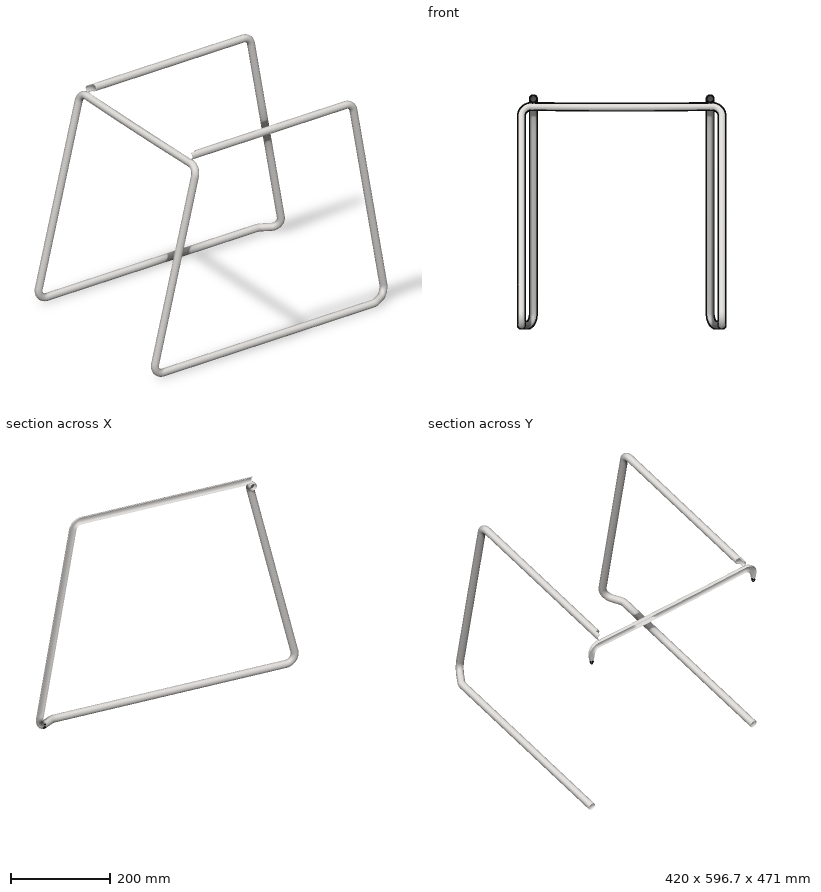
import cadquery as cq
import math

tube_diameter = 16.0
bore_diameter = 13.0
tube_radius = tube_diameter / 2
bend_radius = 20.0

overall_width = 420.0
overall_height = 471.0

base_x = overall_width / 2 - tube_radius
rail_x = 177.5
base_z = tube_radius
rail_z = overall_height - tube_radius
bar_drop = 15.0
bar_z = rail_z - bar_drop
bar_y = -186.5
front_foot_y = -296.0
rear_foot_y = 294.0
rear_top_y = 213.5
rail_end_y = -185.5

rear_lean = math.atan2(rear_foot_y - rear_top_y, rail_z - base_z)
rail_bend_half_angle = (math.pi / 2 - rear_lean) / 2
rail_joint_y = rear_top_y - bend_radius * math.tan(rail_bend_half_angle)

jog_angle = 30.0
jog_y = rear_foot_y - (base_x - rail_x) / math.tan(math.radians(jog_angle))

bow_corner_drop = 3.5
bow_end_gap = 22.0
bow_half_length = base_x - bow_end_gap
bow_radius = bow_half_length * base_x / bow_corner_drop

notch_radius = tube_radius
notch_offset = 6.5
notch_y = -179.0

shortest_edge = 0.005


def straight(start, end):
    """List holding the line between two points, empty if they coincide."""
    if (end - start).Length < shortest_edge:
        return []
    return [cq.Edge.makeLine(start, end)]


def bent_path(corners, radii):
    """Wire through the corners, with each inner corner rounded by its radius."""
    points = [cq.Vector(*corner) for corner in corners]
    edges = []
    start = points[0]
    for before, corner, after, radius in zip(points, points[1:], points[2:], radii):
        back = (before - corner).normalized()
        ahead = (after - corner).normalized()
        half_angle = back.getAngle(ahead) / 2
        tangent_length = radius / math.tan(half_angle)
        arc_depth = radius / math.sin(half_angle) - radius
        arc_start = corner + back * tangent_length
        arc_middle = corner + (back + ahead).normalized() * arc_depth
        arc_end = corner + ahead * tangent_length
        edges += straight(start, arc_start)
        edges.append(cq.Edge.makeThreePointArc(arc_start, arc_middle, arc_end))
        start = arc_end
    edges += straight(start, points[-1])
    return cq.Wire.assembleEdges(edges)


def frame_rod(diameter):
    """Continuous bent rod from one rail, around both sides and the crossbar, to the other rail."""
    left_side = [
        (-rail_x, rail_joint_y, rail_z),
        (-rail_x, rear_top_y, rail_z),
        (-rail_x, rear_foot_y, base_z),
        (-base_x, jog_y, base_z),
        (-base_x, front_foot_y, base_z),
        (-base_x, bar_y, bar_z),
    ]
    bow_corner = (0, bar_y, bar_z - bow_corner_drop)
    right_side = [(-x, y, z) for x, y, z in reversed(left_side)]
    side_radii = [bend_radius] * (len(left_side) - 1)
    path = bent_path(left_side + [bow_corner] + right_side, side_radii + [bow_radius] + side_radii)
    start_plane = cq.Plane(origin=left_side[0], xDir=(1, 0, 0), normal=(0, 1, 0))
    return cq.Workplane(start_plane).circle(diameter / 2).sweep(cq.Workplane(path))


def rail_rod(side, diameter):
    """Straight front length of a top rail; side is -1 for left, 1 for right."""
    end_plane = cq.Plane(origin=(side * rail_x, rail_end_y, rail_z), xDir=(1, 0, 0), normal=(0, 1, 0))
    return cq.Workplane(end_plane).circle(diameter / 2).extrude(rail_joint_y - rail_end_y)


def rail_notch(side):
    """Upright cutter with a rounded end, open towards the front of the rail."""
    center_x = side * (rail_x - notch_offset)
    notch_length = notch_y - rail_end_y
    base = cq.Workplane("XY", origin=(center_x, notch_y, rail_z - tube_radius))
    slot = base.rect(2 * notch_radius, 2 * notch_length).extrude(tube_diameter)
    return slot.union(base.circle(notch_radius).extrude(tube_diameter))


frame = frame_rod(tube_diameter)
bore = frame_rod(bore_diameter)

for side in (-1, 1):
    rail = rail_rod(side, tube_diameter).cut(rail_notch(side))
    frame = frame.union(rail)
    bore = bore.union(rail_rod(side, bore_diameter))

result = frame.cut(bore).clean()